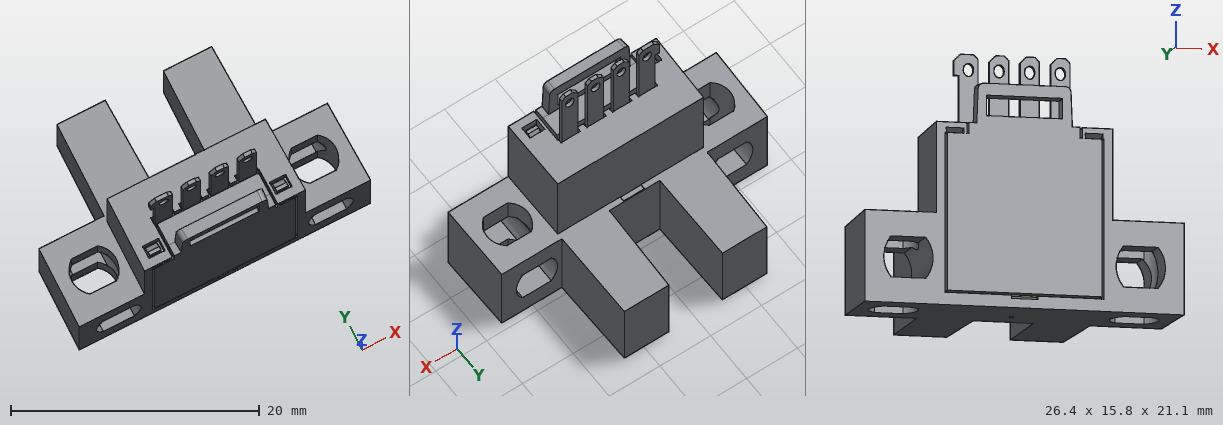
import cadquery as cq
import math


DRAFT = 1.0

FLANGE_WIDTH = 26.4
FLANGE_HEIGHT = 7.5
FLANGE_DEPTH = 7.3
BODY_WIDTH = 14.58
BODY_HEIGHT = 14.95
BODY_DEPTH = 6.73
ARM_TIP_Y = 15.8
SLOT_FLOOR_Y = 7.2
SLOT_WIDTH = 4.97
NOTCH_WIDTH = 2.03
NOTCH_FLOOR_Z = 7.32
NUB_Y = 4.5
NUB_DIAMETER = 0.32
NUB_HEIGHT = 0.26

CROSS_HOLE = (4.07, 2.83, 3.35)
CROSS_HOLE_X = 9.61
UPRIGHT_HOLE = (4.01, 2.38, 3.27)
UPRIGHT_HOLE_X = 9.95
UPRIGHT_HOLE_Y = 3.67

GAP = 0.18
JOINT_DEPTH = 0.9
COVER_WIDTH = 12.78
COVER_BOTTOM = 1.2
SHOULDER_Z = 14.08
NECK_WIDTH = 9.2
NECK_DEPTH = 2.98
PARTING_Y = 1.0
NECK_FRONT_Z = 14.97
NECK_PEAK_Z = 15.05
NECK_BACK_Z = 15.03
PRY_WIDTH = 2.17
PRY_HEIGHT = 0.26
PRY_DEPTH = 0.53

TAB_DRAFT = 4.0
TAB_BASE_WIDTH = 8.1
TAB_TOP_WIDTH = 7.8
TAB_TOP = 18.3
TAB_BASE = 14.25
TAB_RADIUS = 0.48
WINDOW_WIDTH = 6.15
WINDOW_BOTTOM = 15.65
WINDOW_TOP = 17.2

POCKET_X = 5.75
POCKET_WIDTH = 1.45
POCKET_FRONT_Y = 0.77
POCKET_BACK_Y = 1.9
MOUTH_FRONT_HEIGHT = 0.42
MOUTH_BACK_HEIGHT = 0.13
CATCH_WIDTH = 1.03
CATCH_FRONT_Y = 1.03
CATCH_CREST_Y = 1.35
CATCH_BACK_Y = 1.85
CATCH_HEIGHT = 0.53

PIN_COUNT = 4
PIN_PITCH = 2.54
FIRST_PIN_LEFT = -4.65
PIN_WIDTH = 1.58
PIN_FRONT_Y = 3.25
PIN_THICKNESS = 0.35
PIN_ROOT = 12.68
PIN_TOP = 21.13
PIN_LEFT_CHAMFER = 0.53
PIN_RIGHT_CHAMFER = 0.37
EYE_Z = 19.85
EYE_WIDTH = 0.85
EYE_HEIGHT = 1.05
HEAD_OVERHANG = 0.4
HEAD_BOTTOM = 19.38
SOCKET_MARGIN = 0.15
SOCKET_BACK_Y = 3.7

OVERCUT = 0.26


def block(x_min, x_max, y_min, y_max, z_min, z_max):
    """Axis-aligned box between two corners."""
    size = (x_max - x_min, y_max - y_min, z_max - z_min)
    return cq.Workplane("XY").box(*size, centered=False).translate((x_min, y_min, z_min))


def drafted_block(width, height, depth):
    """Block standing on Z = 0 at the cover face and narrowing toward +Y."""
    plane = cq.Plane(origin=(0, 0, height / 2), xDir=(1, 0, 0), normal=(0, 1, 0))
    return cq.Workplane(plane).rect(width, height).extrude(depth, taper=DRAFT)


def side_profile(points, width, center_x=0.0):
    """Prism along X from (y, z) points, centred on center_x."""
    prism = cq.Workplane("YZ").polyline(points).close().extrude(width / 2, both=True)
    return prism.translate((center_x, 0, 0))


def mounting_hole(plane, center, size, depth):
    """Hole with two flat sides and two arched ends, cut both ways from its plane."""
    length, flat, width = size
    sketch = cq.Workplane(plane).center(*center).moveTo(-flat / 2, -width / 2)
    sketch = sketch.lineTo(flat / 2, -width / 2).threePointArc((length / 2, 0), (flat / 2, width / 2))
    sketch = sketch.lineTo(-flat / 2, width / 2).threePointArc((-length / 2, 0), (-flat / 2, -width / 2))
    return sketch.close().extrude(depth, both=True)


def make_housing():
    flange = drafted_block(FLANGE_WIDTH, FLANGE_HEIGHT, FLANGE_DEPTH)
    body = drafted_block(BODY_WIDTH, BODY_HEIGHT, BODY_DEPTH)
    arms = drafted_block(BODY_WIDTH, FLANGE_HEIGHT, ARM_TIP_Y)

    floor_half = SLOT_WIDTH / 2
    tip_half = floor_half + (ARM_TIP_Y - SLOT_FLOOR_Y) * math.tan(math.radians(DRAFT))
    slot_outline = [
        (-floor_half, SLOT_FLOOR_Y),
        (floor_half, SLOT_FLOOR_Y),
        (tip_half, ARM_TIP_Y),
        (-tip_half, ARM_TIP_Y),
    ]
    slot = cq.Workplane("XY").polyline(slot_outline).close().extrude(FLANGE_HEIGHT)
    notch = block(-NOTCH_WIDTH / 2, NOTCH_WIDTH / 2, BODY_DEPTH, SLOT_FLOOR_Y, NOTCH_FLOOR_Z, FLANGE_HEIGHT)
    nub = cq.Workplane("XY").center(0, NUB_Y).circle(NUB_DIAMETER / 2).extrude(NUB_HEIGHT)

    housing = flange.union(arms.cut(slot)).cut(notch).union(body).union(nub)
    for side in (-1, 1):
        cross = mounting_hole("XZ", (side * CROSS_HOLE_X, FLANGE_HEIGHT / 2), CROSS_HOLE, FLANGE_WIDTH)
        upright = mounting_hole("XY", (side * UPRIGHT_HOLE_X, UPRIGHT_HOLE_Y), UPRIGHT_HOLE, FLANGE_WIDTH)
        housing = housing.cut(cross).cut(upright)
    return housing


def cut_cover_joint(housing):
    """Open the gap that outlines the cover on the front and top of the housing."""
    half = COVER_WIDTH / 2
    neck_half = NECK_WIDTH / 2
    top = BODY_HEIGHT + OVERCUT
    gap_bottom = COVER_BOTTOM - GAP
    gap_back = PIN_FRONT_Y
    joint_floor = BODY_HEIGHT - JOINT_DEPTH

    housing = housing.cut(block(-half - GAP, half + GAP, 0, JOINT_DEPTH, gap_bottom, COVER_BOTTOM))
    for side in (-1, 1):
        edge = block(half, half + GAP, 0, JOINT_DEPTH, gap_bottom, SHOULDER_Z)
        neck_edge = block(neck_half, neck_half + GAP, 0, gap_back, SHOULDER_Z, top)
        for gap in (edge, neck_edge):
            housing = housing.cut(gap if side > 0 else gap.mirror("YZ"))
    housing = housing.cut(block(-neck_half, neck_half, NECK_DEPTH, gap_back, joint_floor, top))

    pry = side_profile([(0, gap_bottom - PRY_HEIGHT), (PRY_DEPTH, gap_bottom), (0, gap_bottom)], PRY_WIDTH)
    return housing.cut(pry)


def cut_snap_pockets(housing):
    """Pockets open to the top and front, each with a ramped catch on its floor."""
    catch_outline = [
        (CATCH_FRONT_Y, SHOULDER_Z),
        (CATCH_FRONT_Y, SHOULDER_Z + CATCH_HEIGHT),
        (CATCH_CREST_Y, SHOULDER_Z + CATCH_HEIGHT),
        (CATCH_BACK_Y, SHOULDER_Z),
    ]
    mouth_outline = [
        (0, SHOULDER_Z),
        (0, SHOULDER_Z + MOUTH_FRONT_HEIGHT),
        (POCKET_FRONT_Y, SHOULDER_Z + MOUTH_BACK_HEIGHT),
        (POCKET_FRONT_Y, SHOULDER_Z),
    ]
    for x in (-POCKET_X, POCKET_X):
        left = x - POCKET_WIDTH / 2
        right = x + POCKET_WIDTH / 2
        well = block(left, right, POCKET_FRONT_Y, POCKET_BACK_Y, SHOULDER_Z, BODY_HEIGHT + OVERCUT)
        mouth = side_profile(mouth_outline, POCKET_WIDTH, x)
        catch = side_profile(catch_outline, CATCH_WIDTH, x)
        housing = housing.cut(well).cut(mouth).union(catch)
    return housing


def make_neck():
    outline = [
        (0, SHOULDER_Z),
        (0, NECK_FRONT_Z),
        (PARTING_Y, NECK_PEAK_Z),
        (NECK_DEPTH, NECK_BACK_Z),
        (NECK_DEPTH, SHOULDER_Z),
    ]
    return side_profile(outline, NECK_WIDTH)


def make_tab():
    """Windowed finger tab, narrowing from the parting plane to the cover face."""
    plane = cq.Workplane("XZ", origin=(0, PARTING_Y, 0))
    outline = [
        (-TAB_BASE_WIDTH / 2, TAB_BASE),
        (TAB_BASE_WIDTH / 2, TAB_BASE),
        (TAB_TOP_WIDTH / 2, TAB_TOP),
        (-TAB_TOP_WIDTH / 2, TAB_TOP),
    ]
    tab = plane.polyline(outline).close().extrude(PARTING_Y, taper=TAB_DRAFT)
    top_corners = tab.edges("not(#Y)").edges(">Z")
    tab = top_corners.fillet(TAB_RADIUS)
    window = plane.center(0, (WINDOW_BOTTOM + WINDOW_TOP) / 2)
    window = window.rect(WINDOW_WIDTH, WINDOW_TOP - WINDOW_BOTTOM).extrude(PARTING_Y, taper=-TAB_DRAFT)
    return tab.cut(window)


def make_pin(left, overhang):
    """Flat terminal with a solder eye; overhang widens its head to the left."""
    right = left + PIN_WIDTH
    head_left = left - overhang
    outline = [
        (left, PIN_ROOT),
        (right, PIN_ROOT),
        (right, PIN_TOP - PIN_RIGHT_CHAMFER),
        (right - PIN_RIGHT_CHAMFER, PIN_TOP),
        (head_left + PIN_LEFT_CHAMFER, PIN_TOP),
        (head_left, PIN_TOP - PIN_LEFT_CHAMFER),
    ]
    if overhang:
        outline += [(head_left, HEAD_BOTTOM), (left, HEAD_BOTTOM)]
    plane = cq.Workplane("XZ", origin=(0, PIN_FRONT_Y + PIN_THICKNESS, 0))
    pin = plane.polyline(outline).close().extrude(PIN_THICKNESS)
    eye = plane.center(left + PIN_WIDTH / 2, EYE_Z).ellipse(EYE_WIDTH / 2, EYE_HEIGHT / 2)
    return pin.cut(eye.extrude(PIN_THICKNESS))


def add_pins(housing):
    """Set each terminal in a clearance socket in the top of the housing."""
    for index in range(PIN_COUNT):
        left = FIRST_PIN_LEFT + index * PIN_PITCH
        socket = block(
            left - SOCKET_MARGIN, left + PIN_WIDTH + SOCKET_MARGIN,
            PIN_FRONT_Y, SOCKET_BACK_Y,
            BODY_HEIGHT - JOINT_DEPTH, BODY_HEIGHT + OVERCUT,
        )
        overhang = HEAD_OVERHANG if index == 0 else 0
        housing = housing.cut(socket).union(make_pin(left, overhang))
    return housing


sensor = cut_cover_joint(make_housing())
sensor = cut_snap_pockets(sensor)
sensor = sensor.union(make_neck()).union(make_tab())
result = add_pins(sensor)